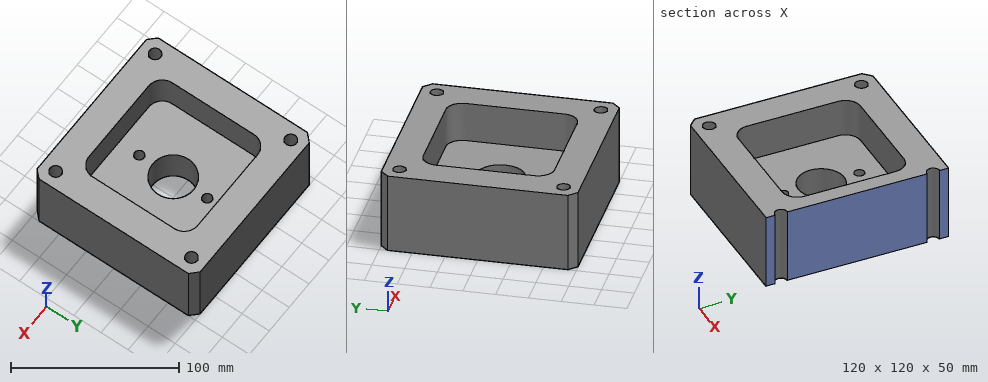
import cadquery as cq

side = 120.0
height = 50.0
corner_chamfer = 5.0

pocket_side = 80.0
pocket_corner_radius = 10.0
pocket_depth = 25.0

bore_diameter = 30.0
corner_hole_diameter = 8.0
corner_hole_spacing = 100.0
floor_hole_diameter = 6.6
floor_hole_spacing = 50.0


def make_block():
    """Square block with its four vertical edges chamfered, standing on Z = 0."""
    block = cq.Workplane("XY").box(side, side, height, centered=(True, True, False))
    return block.edges("|Z").chamfer(corner_chamfer)


def make_pocket():
    """Volume removed by the pocket in the top face."""
    pocket_floor = cq.Workplane("XY").workplane(offset=height - pocket_depth)
    pocket = pocket_floor.rect(pocket_side, pocket_side).extrude(pocket_depth)
    return pocket.edges("|Z").fillet(pocket_corner_radius)


def make_through_holes(diameter, centres):
    """Cylinders through the full height at the given XY centres."""
    return cq.Workplane("XY").pushPoints(centres).circle(diameter / 2).extrude(height)


corner_offset = corner_hole_spacing / 2
corner_centres = [(x, y) for x in (-corner_offset, corner_offset) for y in (-corner_offset, corner_offset)]
floor_centres = [(0, -floor_hole_spacing / 2), (0, floor_hole_spacing / 2)]

result = (
    make_block()
    .cut(make_pocket())
    .cut(make_through_holes(bore_diameter, [(0, 0)]))
    .cut(make_through_holes(corner_hole_diameter, corner_centres))
    .cut(make_through_holes(floor_hole_diameter, floor_centres))
)